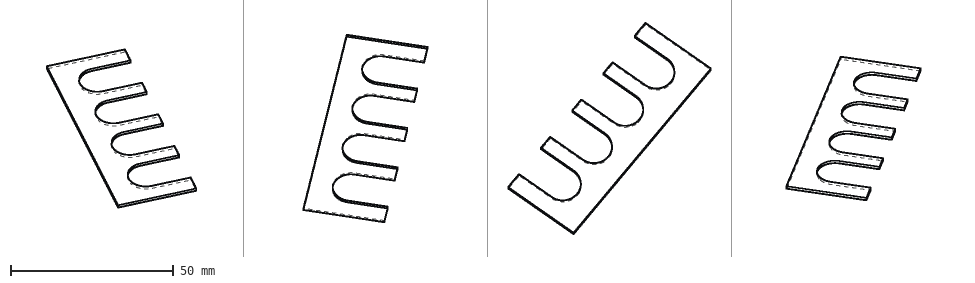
import cadquery as cq

plate_length = 69.85
plate_width = 25.4
plate_thickness = 1.0

slot_count = 4
slot_pitch = 15.85
slot_width = 11.2
slot_depth = 18.3

slot_radius = slot_width / 2
back_edge_y = plate_width / 2
slot_centre_y = back_edge_y - slot_depth + slot_radius


def open_slot(centre_x):
    """Cutter with straight sides and a semicircular bottom."""
    left_x = centre_x - slot_radius
    right_x = centre_x + slot_radius
    return (
        cq.Workplane("XY")
        .moveTo(left_x, back_edge_y)
        .lineTo(left_x, slot_centre_y)
        .threePointArc((centre_x, slot_centre_y - slot_radius), (right_x, slot_centre_y))
        .lineTo(right_x, back_edge_y)
        .close()
        .extrude(plate_thickness)
    )


result = cq.Workplane("XY").box(
    plate_length, plate_width, plate_thickness, centered=(True, True, False)
)

first_slot_x = -slot_pitch * (slot_count - 1) / 2
for index in range(slot_count):
    result = result.cut(open_slot(first_slot_x + index * slot_pitch))